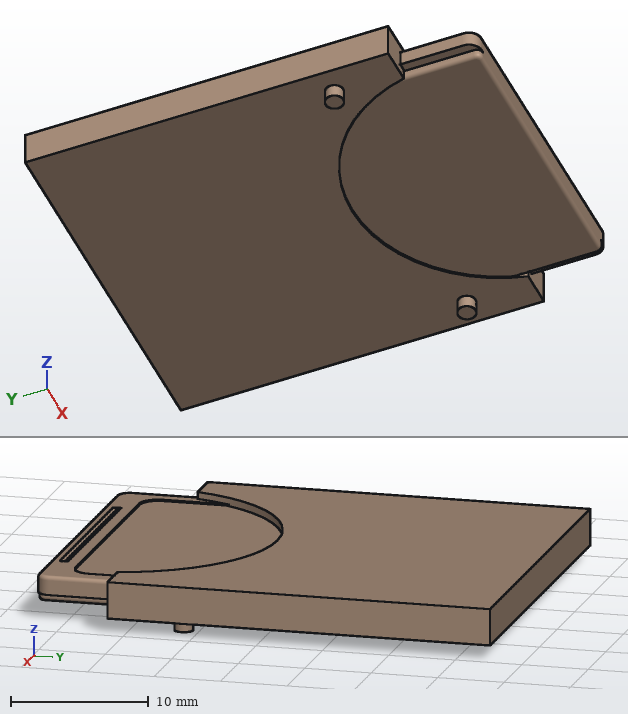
import cadquery as cq


total_length = 34.8
card_overhang = 6.02

socket_width = 28.43
socket_length = total_length - card_overhang
socket_height = 2.75
thumb_cut_depth = 9.0
thumb_cut_mouth = 22.7

card_width = 24.0
card_length = 32.0
card_thickness = 2.1
card_top_cover = 0.52
card_top_z = socket_height - card_top_cover
card_bottom_z = card_top_z - card_thickness
card_front_y = -card_overhang
rail_thickness = 1.4
rail_corner_radius = 1.0
keel_width = 22.48
keel_corner_radius = 0.5
card_rim_radius = 0.3

label_width = 21.0
label_front_margin = 2.25
label_length = card_length - 2 * label_front_margin
label_corner_radius = 1.4
label_depth = 0.1

groove_length = 15.15
groove_width = 0.6
groove_front_margin = 0.7
groove_depth = 0.1

peg_diameter = 1.4
peg_height = 1.05
peg_spacing = 24.15
peg_y = 5.2


def card_slab(width, bottom_z, top_z, corner_radius):
    """Full-length slab of the card with rounded vertical corners."""
    return (
        cq.Workplane("XY", origin=(0, card_front_y, bottom_z))
        .rect(width, card_length)
        .extrude(top_z - bottom_z)
        .translate((0, card_length / 2, 0))
        .edges("|Z")
        .fillet(corner_radius)
    )


def make_card_envelope():
    """Plain card: wide upper slab over a narrower keel, both with rounded rims."""
    step_z = card_top_z - rail_thickness
    upper = card_slab(card_width, step_z, card_top_z, rail_corner_radius)
    upper = upper.faces(">Z").edges().fillet(card_rim_radius)
    keel = card_slab(keel_width, card_bottom_z, step_z, keel_corner_radius)
    keel = keel.faces("<Z").edges().fillet(card_rim_radius)
    return upper.union(keel)


def make_label_recess():
    """Shallow rounded rectangle sunk into the card top."""
    return (
        cq.Workplane("XY", origin=(0, card_front_y + card_length / 2, card_top_z))
        .rect(label_width, label_length)
        .extrude(-label_depth)
        .edges("|Z")
        .fillet(label_corner_radius)
    )


def make_finger_groove():
    """Symmetric V-groove running along X."""
    front_y = card_front_y + groove_front_margin
    return (
        cq.Workplane("YZ")
        .moveTo(front_y, card_top_z)
        .lineTo(front_y + groove_width, card_top_z)
        .lineTo(front_y + groove_width / 2, card_top_z - groove_depth)
        .close()
        .extrude(groove_length / 2, both=True)
    )


def make_card():
    """Card with its label recess and finger groove."""
    return make_card_envelope().cut(make_label_recess()).cut(make_finger_groove())


def make_socket(card):
    """Block hollowed to the shape of the card, with a round thumb cut through its full height."""
    block = cq.Workplane("XY").box(
        socket_width, socket_length, socket_height, centered=(True, False, False)
    )
    half_mouth = thumb_cut_mouth / 2
    thumb_cut = (
        cq.Workplane("XY")
        .moveTo(-half_mouth, 0)
        .threePointArc((0, thumb_cut_depth), (half_mouth, 0))
        .close()
        .extrude(socket_height)
    )
    return block.cut(card).cut(thumb_cut)


def make_peg(x):
    """Round peg hanging from the socket underside."""
    return cq.Workplane("XY").center(x, peg_y).circle(peg_diameter / 2).extrude(-peg_height)


card = make_card()
socket = make_socket(card)
pegs = [make_peg(side * peg_spacing / 2) for side in (-1, 1)]

result = cq.Compound.makeCompound([socket.val(), card.val(), *[peg.val() for peg in pegs]])